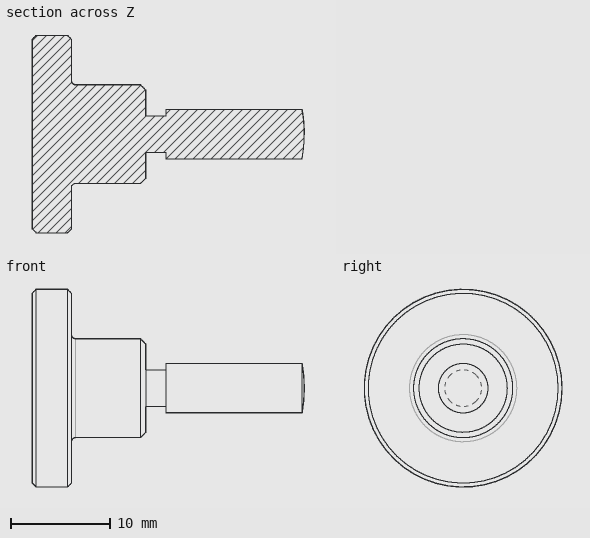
import cadquery as cq

head_end = 4.0
hub_end = 11.5
neck_end = 13.5
total_length = 27.5
tip_dome_height = 0.22

head_diameter = 20.0
hub_diameter = 10.0
neck_diameter = 3.7
shank_diameter = 5.0

head_chamfer = 0.4
hub_chamfer = 0.55
hub_root_fillet = 0.4

head_radius = head_diameter / 2
hub_radius = hub_diameter / 2
neck_radius = neck_diameter / 2
shank_radius = shank_diameter / 2
shank_end = total_length - tip_dome_height

dome_radius = (shank_radius**2 + tip_dome_height**2) / (2 * tip_dome_height)
dome_mid_radius = shank_radius / 2
dome_mid_x = total_length - dome_radius + (dome_radius**2 - dome_mid_radius**2) ** 0.5

half_section = (
    cq.Workplane("XY")
    .moveTo(0, 0)
    .lineTo(0, head_radius - head_chamfer)
    .lineTo(head_chamfer, head_radius)
    .lineTo(head_end - head_chamfer, head_radius)
    .lineTo(head_end, head_radius - head_chamfer)
    .lineTo(head_end, hub_radius + hub_root_fillet)
    .radiusArc((head_end + hub_root_fillet, hub_radius), -hub_root_fillet)
    .lineTo(hub_end - hub_chamfer, hub_radius)
    .lineTo(hub_end, hub_radius - hub_chamfer)
    .lineTo(hub_end, neck_radius)
    .lineTo(neck_end, neck_radius)
    .lineTo(neck_end, shank_radius)
    .lineTo(shank_end, shank_radius)
    .threePointArc((dome_mid_x, dome_mid_radius), (total_length, 0))
    .close()
)

axis_start = (0, 0, 0)
axis_end = (1, 0, 0)
result = half_section.revolve(360, axis_start, axis_end)